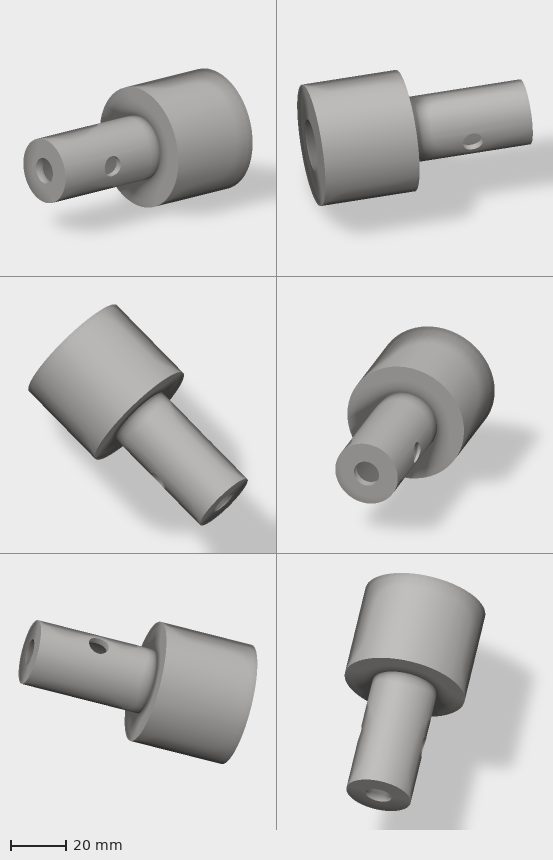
import cadquery as cq

head_diameter = 44.45
head_length = 34.925
shank_diameter = 23.8125
shank_length = 44.45
shank_wall = 2.38125
tip_wall = 3.175
tip_hole_diameter = 9.525
cross_hole_diameter = 7.54

total_length = shank_length + head_length
bore_diameter = shank_diameter - 2 * shank_wall
cross_hole_from_tip = shank_length / 2


def cylinder_along_y(diameter, y_start, length):
    """Solid cylinder on the Y axis, running in +Y from y_start."""
    start = cq.Vector(0, y_start, 0)
    return cq.Workplane(cq.Solid.makeCylinder(diameter / 2, length, start, cq.Vector(0, 1, 0)))


def body():
    """Shank and head, joined end to end."""
    shank = cylinder_along_y(shank_diameter, 0, shank_length)
    head = cylinder_along_y(head_diameter, shank_length, head_length)
    return shank.union(head)


def stepped_bore():
    """Cutter for the small hole in the tip wall and the wide bore open at the head end."""
    tip_hole = cylinder_along_y(tip_hole_diameter, 0, tip_wall)
    main_bore = cylinder_along_y(bore_diameter, tip_wall, total_length - tip_wall)
    return tip_hole.union(main_bore)


def cross_hole():
    """Cutter along X that passes through both walls of the shank."""
    start = cq.Vector(-shank_diameter / 2, cross_hole_from_tip, 0)
    return cq.Workplane(
        cq.Solid.makeCylinder(cross_hole_diameter / 2, shank_diameter, start, cq.Vector(1, 0, 0))
    )


result = body().cut(stepped_bore()).cut(cross_hole())